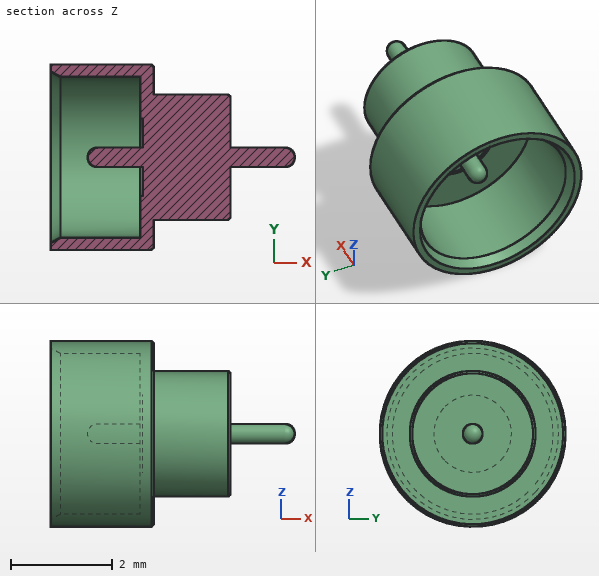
import cadquery as cq

shroud_length = 2.04
body_end = 3.56
pin_end = 4.83

shroud_diameter = 3.68
body_diameter = 2.49
edge_break = 0.05

bore_diameter = 3.18
lead_in_diameter = 3.39
lead_in_depth = 0.19
bore_depth = 1.77

recess_diameter = 1.53
recess_depth = 0.05

pin_diameter = 0.39
pin_start = 0.73


def cylinder(start, end, diameter):
    """Solid cylinder on the X axis between two axial stations."""
    return cq.Workplane("YZ", origin=(start, 0, 0)).circle(diameter / 2).extrude(end - start)


def make_housing():
    """Stepped shroud and body, each with its rear outer edge chamfered."""
    shroud = cylinder(0, shroud_length, shroud_diameter).faces(">X").edges().chamfer(edge_break)
    body = cylinder(bore_depth, body_end, body_diameter).faces(">X").edges().chamfer(edge_break)
    return shroud.union(body)


def make_socket():
    """Revolved cavity: conical lead-in followed by a flat-bottomed bore."""
    return (
        cq.Workplane("XY")
        .moveTo(0, 0)
        .lineTo(0, lead_in_diameter / 2)
        .lineTo(lead_in_depth, bore_diameter / 2)
        .lineTo(bore_depth, bore_diameter / 2)
        .lineTo(bore_depth, 0)
        .close()
        .revolve(360, (0, 0, 0), (1, 0, 0))
    )


def make_recess():
    """Shallow disc sunk into the floor of the bore."""
    return cylinder(bore_depth, bore_depth + recess_depth, recess_diameter)


def make_pin():
    """Straight pin along X, rounded to a hemisphere at both ends."""
    radius = pin_diameter / 2
    pin = cylinder(pin_start + radius, pin_end - radius, pin_diameter)
    for centre in (pin_start + radius, pin_end - radius):
        pin = pin.union(cq.Workplane("XY").sphere(radius).translate((centre, 0, 0)))
    return pin


result = make_housing().cut(make_socket()).cut(make_recess()).union(make_pin())